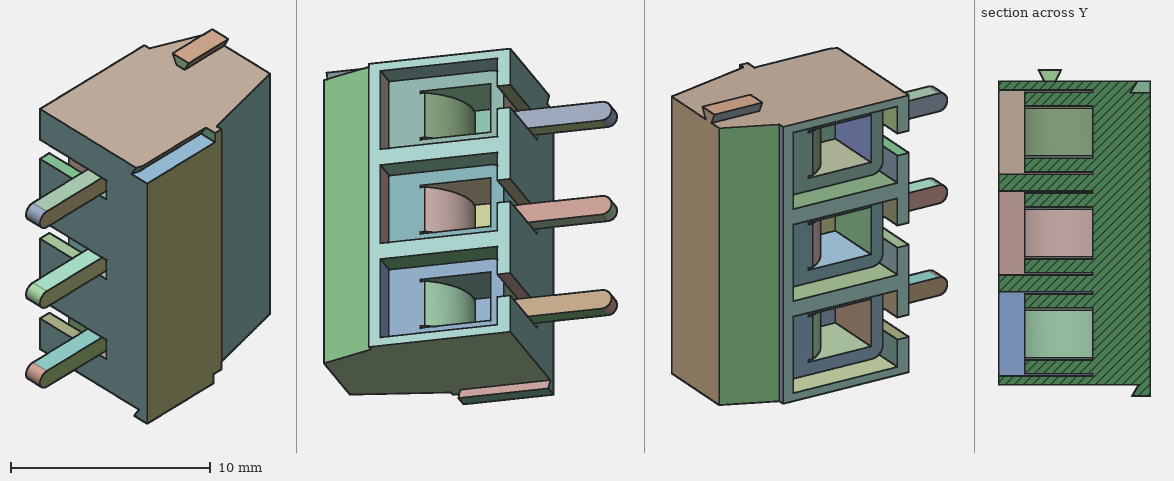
import cadquery as cq


body_width = 7.6
body_depth = 10.2
body_height = 15.2
left_ledge = 0.36
left_shoulder_y = 7.39
right_ledge = 0.35
right_shoulder_y = 5.26
roof_left_x = 1.54
roof_right_x = 6.1

terminal_count = 3
pitch = 5.05

pocket_front_y = 0.67
pocket_back_y = 6.78
pocket_height = 4.2
pocket_depth = 4.7
cage_recess = 1.3
cage_clearance_y = 0.05
cage_clearance_z = 0.1
cage_corner_radius = 0.64
cage_front_y = pocket_front_y + cage_clearance_y
cage_back_y = pocket_back_y - cage_clearance_y
cage_height = pocket_height - 2 * cage_clearance_z

window_front_y = 1.42
window_back_y = 5.1
window_height = 2.6
nose_radius = 3.2
nose_center_x = 4.12
nose_center_y = 6.39
clamp_height = 2.39

pin_size = 1.0
pin_x = 3.8
pin_length = 4.3
slot_height = 1.21

dovetail_height = 0.57
dovetail_flare = 0.35
key_center_x = 2.57
key_root_width = 0.57
key_tip_width = 1.15
rail_root_width = 0.59
rail_length = 4.7
groove_mouth_width = 0.65
groove_length = 4.8
lead_in_length = 0.41
lead_in_flare = 0.13


def box(x0, x1, y0, y1, z0, z1):
    """Box between two opposite corners."""
    return cq.Workplane("XY").box(x1 - x0, y1 - y0, z1 - z0, centered=False).translate((x0, y0, z0))


def centered_box(x0, x1, y0, y1, center_z, height):
    """Box with its height centred on a terminal's level."""
    return box(x0, x1, y0, y1, center_z - height / 2, center_z + height / 2)


def prism_along_y(points, y0, y1):
    """Extrude an XZ outline from y0 to y1."""
    return cq.Workplane("XZ", origin=(0, y0, 0)).polyline(points).close().extrude(y0 - y1)


def make_housing():
    outline = [
        (0, 0),
        (body_width, 0),
        (body_width, right_shoulder_y),
        (body_width - right_ledge, right_shoulder_y),
        (roof_right_x, body_depth),
        (roof_left_x, body_depth),
        (left_ledge, left_shoulder_y),
        (0, left_shoulder_y),
    ]
    return cq.Workplane("XY").polyline(outline).close().extrude(body_height)


def make_key():
    top = body_height + dovetail_height
    outline = [
        (key_center_x - key_root_width / 2, body_height),
        (key_center_x + key_root_width / 2, body_height),
        (key_center_x + key_tip_width / 2, top),
        (key_center_x - key_tip_width / 2, top),
    ]
    return prism_along_y(outline, left_shoulder_y, body_depth)


def make_rail():
    root_x = body_width - rail_root_width
    outline = [
        (root_x, 0),
        (body_width, 0),
        (body_width, -dovetail_height),
        (root_x - dovetail_flare, -dovetail_height),
    ]
    return prism_along_y(outline, 0, rail_length)


def groove_outline(mouth_x):
    """XZ outline of the half-dovetail groove whose upper edge lies at mouth_x."""
    floor = body_height - dovetail_height
    return [
        (mouth_x, body_height),
        (body_width, body_height),
        (body_width, floor),
        (mouth_x - dovetail_flare, floor),
    ]


def make_groove():
    mouth_x = body_width - groove_mouth_width
    straight = prism_along_y(groove_outline(mouth_x), 0, groove_length)
    lead_in = (
        cq.Workplane("XZ")
        .polyline(groove_outline(mouth_x - lead_in_flare))
        .close()
        .workplane(offset=-lead_in_length)
        .polyline(groove_outline(mouth_x))
        .close()
        .loft(ruled=True)
    )
    return straight.union(lead_in)


def make_clamp_block(z):
    """Block behind the window; its nose curves inwards from the cage face towards the pin side."""
    block = centered_box(cage_recess, pocket_depth, window_front_y, window_back_y, z, clamp_height)
    nose = (
        cq.Workplane("XY", origin=(nose_center_x, nose_center_y, z))
        .circle(nose_radius)
        .extrude(clamp_height, both=True)
    )
    return block.intersect(nose)


def make_cage(z):
    cage = centered_box(cage_recess, pocket_depth, cage_front_y, cage_back_y, z, cage_height)
    cage = cage.edges("|X and <Y").fillet(cage_corner_radius)
    window = centered_box(cage_recess, pocket_depth, window_front_y, window_back_y, z, window_height)
    return cage.cut(window).union(make_clamp_block(z))


def make_pin(z):
    """Square pin with a fully rounded tip, rooted in the front of the cage."""
    half = pin_size / 2
    return (
        cq.Workplane("YZ", origin=(pin_x - half, 0, 0))
        .moveTo(window_front_y, z - half)
        .lineTo(half - pin_length, z - half)
        .threePointArc((-pin_length, z), (half - pin_length, z + half))
        .lineTo(window_front_y, z + half)
        .close()
        .extrude(pin_size)
    )


result = make_housing().union(make_key()).union(make_rail()).cut(make_groove())

for index in range(terminal_count):
    level = body_height / 2 + (index - (terminal_count - 1) / 2) * pitch
    pocket = centered_box(0, pocket_depth, pocket_front_y, pocket_back_y, level, pocket_height)
    slot = centered_box(0, pocket_depth, 0, pocket_front_y, level, slot_height)
    result = result.cut(pocket).cut(slot)
    result = result.union(make_cage(level)).union(make_pin(level))